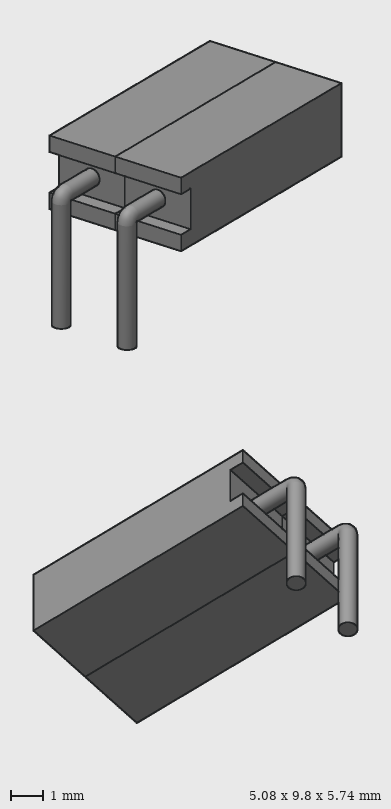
import cadquery as cq


module_count = 2
pitch = 2.54

housing_width = pitch
housing_height = 2.54
housing_length = 8.4
slot_depth = 0.5
lip_thickness = 0.57
slot_height = housing_height - 2 * lip_thickness

pin_diameter = 0.6
pin_radius = pin_diameter / 2
bend_outer_radius = 0.5
bend_axis_radius = bend_outer_radius - pin_radius
pin_reach = 1.4
pin_drop = 3.2
pin_overlap = 0.2

slot_floor_y = slot_depth
leg_y = -pin_reach + pin_radius
bend_center_y = leg_y + bend_axis_radius
bend_center_z = -bend_axis_radius
pin_tip_z = -housing_height / 2 - pin_drop


def make_housing():
    """Square block with a slot across its front face, open at both sides."""
    block = cq.Workplane("XY").box(
        housing_width, housing_length, housing_height, centered=(True, False, True)
    )
    slot = cq.Workplane("XY").box(
        housing_width, slot_depth, slot_height, centered=(True, False, True)
    )
    return block.cut(slot)


def make_bend():
    """Quarter turn whose radius is tighter than the pin's.

    Only the part of the pin's circle outside the turning axis is revolved.
    """
    axis_half_width = (pin_radius**2 - bend_axis_radius**2) ** 0.5
    return (
        cq.Workplane("XZ", origin=(0, bend_center_y, 0))
        .moveTo(-axis_half_width, bend_center_z)
        .threePointArc((0, pin_radius), (axis_half_width, bend_center_z))
        .close()
        .revolve(90, (-axis_half_width, bend_center_z), (axis_half_width, bend_center_z))
    )


def make_pin():
    """Round pin leaving the slot floor along -Y and turning down along -Z."""
    root_end_y = slot_floor_y + pin_overlap
    root = (
        cq.Workplane("XZ", origin=(0, root_end_y, 0))
        .circle(pin_radius)
        .extrude(root_end_y - bend_center_y)
    )
    leg = (
        cq.Workplane("XY", origin=(0, leg_y, pin_tip_z))
        .circle(pin_radius)
        .extrude(bend_center_z - pin_tip_z)
    )
    return root.union(leg).union(make_bend())


def make_module(index):
    """One housing with its pin, at its place in the strip."""
    return make_housing().union(make_pin()).translate((index * pitch, 0, 0))


modules = [make_module(index) for index in range(module_count)]

result = cq.Compound.makeCompound([module.val() for module in modules])